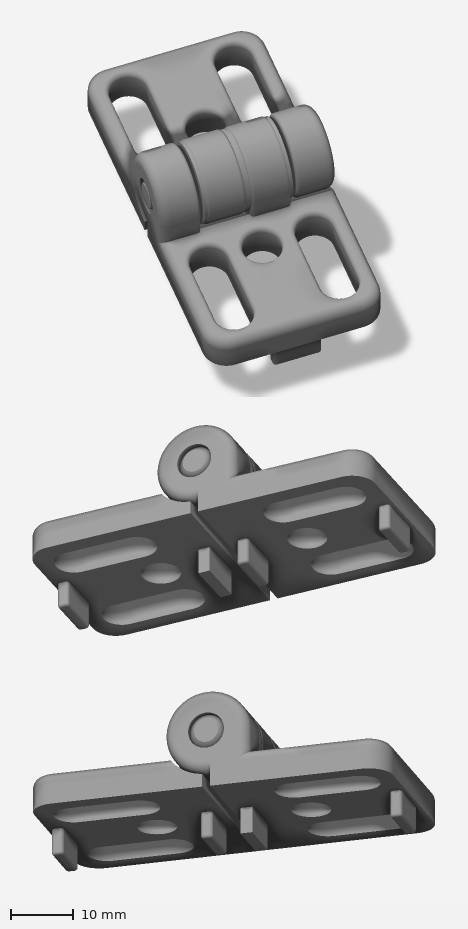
import cadquery as cq

HALF_LENGTH = 30.0
WIDTH = 30.0
PLATE_THICKNESS = 5.6
CORNER_RADIUS = 4.0
OUTER_FILLET = 1.55
HALF_GAP = 0.65

AXIS_HEIGHT = 9.6
KNUCKLE_RADIUS = 7.0
KNUCKLE_FILLET = 0.6
KNUCKLE_LENGTH = 6.8
CENTER_GAP = 0.8
BORE_DIAMETER = 6.0
RECESS_RADIUS = 7.45

PIN_DIAMETER = 5.8
PIN_END_CHAMFER = 0.9

WASHER_DIAMETER = 13.7
WASHER_THICKNESS = 0.95
WASHER_PITCH = 7.1

HOLE_DIAMETER = 6.4
HOLE_FILLET = 0.8
HOLE_X = 12.9
SLOT_END_X = 24.0
SLOT_Y = 9.0

TAB_THICKNESS = 2.0
TAB_WIDTH = 8.3
TAB_HEIGHT = 4.4
TAB_CORNER_FILLET = 0.6
TAB_TIP_FILLET = 0.4
INNER_TAB_X = 3.35
OUTER_TAB_X = 28.3

HALF_WIDTH = WIDTH / 2
INNER_KNUCKLE_START = CENTER_GAP / 2
INNER_KNUCKLE_END = INNER_KNUCKLE_START + KNUCKLE_LENGTH
WASHER_CENTERS = [-WASHER_PITCH, 0.0, WASHER_PITCH]


def axial_cylinder(diameter, start, end):
    """Cylinder on the hinge axis between two Y positions."""
    return (
        cq.Workplane("XZ", origin=(0, start, AXIS_HEIGHT))
        .circle(diameter / 2)
        .extrude(start - end)
    )


def block(x_range, y_range, z_range):
    """Box between two limits along each axis."""
    size = [high - low for low, high in (x_range, y_range, z_range)]
    return cq.Workplane("XY").box(*size, centered=False).translate((x_range[0], y_range[0], z_range[0]))


def leaf_plate():
    """Flat plate with rounded outer corners and a rounded top edge, recessed around the hinge."""
    plate = (
        block((-HALF_LENGTH, HALF_LENGTH), (-HALF_WIDTH, HALF_WIDTH), (0, PLATE_THICKNESS))
        .edges("|Z")
        .fillet(CORNER_RADIUS)
        .faces(">Z")
        .edges()
        .fillet(OUTER_FILLET)
    )
    own_side = block((HALF_GAP, HALF_LENGTH), (-HALF_WIDTH, HALF_WIDTH), (0, PLATE_THICKNESS))
    recess = axial_cylinder(2 * RECESS_RADIUS, -HALF_WIDTH, HALF_WIDTH)
    return plate.intersect(own_side).cut(recess)


def knuckle(start, end, start_fillet, end_fillet):
    """Barrel on the hinge axis with a straight foot, both rounded at their two faces."""
    barrel = (
        axial_cylinder(2 * KNUCKLE_RADIUS, start, end)
        .faces("<Y")
        .edges()
        .fillet(start_fillet)
        .faces(">Y")
        .edges()
        .fillet(end_fillet)
    )
    foot = (
        block((HALF_GAP, KNUCKLE_RADIUS), (start, end), (0, AXIS_HEIGHT))
        .edges("|Z and >X and <Y")
        .fillet(start_fillet)
        .edges("|Z and >X and >Y")
        .fillet(end_fillet)
    )
    bore = axial_cylinder(BORE_DIAMETER, start, end)
    return barrel.union(foot).cut(bore)


def cut_openings(leaf):
    """Screw hole and two slots through the plate, each with a rounded top rim."""
    slot_length = SLOT_END_X - HOLE_X + HOLE_DIAMETER
    slot_center_x = (SLOT_END_X + HOLE_X) / 2
    hole = cq.Workplane("XY").center(HOLE_X, 0).circle(HOLE_DIAMETER / 2).extrude(PLATE_THICKNESS)
    slots = (
        cq.Workplane("XY")
        .pushPoints([(slot_center_x, -SLOT_Y), (slot_center_x, SLOT_Y)])
        .slot2D(slot_length, HOLE_DIAMETER)
        .extrude(PLATE_THICKNESS)
    )
    inside_top_edge = cq.selectors.BoxSelector(
        (RECESS_RADIUS, OUTER_FILLET - HALF_WIDTH, PLATE_THICKNESS - HOLE_FILLET),
        (HALF_LENGTH - OUTER_FILLET, HALF_WIDTH - OUTER_FILLET, PLATE_THICKNESS + HOLE_FILLET),
        boundingbox=True,
    )
    return leaf.cut(hole).cut(slots).edges(inside_top_edge).fillet(HOLE_FILLET)


def tab(center_x, rounded):
    """Locating tab below the plate; the rounded kind has soft corners and a soft tip."""
    half_thickness = TAB_THICKNESS / 2
    body = block(
        (center_x - half_thickness, center_x + half_thickness),
        (-TAB_WIDTH / 2, TAB_WIDTH / 2),
        (-TAB_HEIGHT, 0),
    )
    if rounded:
        body = body.edges("|Z").fillet(TAB_CORNER_FILLET)
        body = body.faces("<Z").edges().fillet(TAB_TIP_FILLET)
    return body


def washer_disc(center_y):
    """Full disc of a washer, also the seat it needs in a knuckle face."""
    half_thickness = WASHER_THICKNESS / 2
    return axial_cylinder(WASHER_DIAMETER, center_y - half_thickness, center_y + half_thickness)


def washer(center_y):
    """Flat ring around the pin."""
    return washer_disc(center_y).cut(axial_cylinder(PIN_DIAMETER, -HALF_WIDTH, HALF_WIDTH))


def leaf(inner_tab_rounded):
    """Hinge half on the +X side: plate, end knuckle at -Y, inner knuckle at +Y and two tabs."""
    end_knuckle = knuckle(-HALF_WIDTH, KNUCKLE_LENGTH - HALF_WIDTH, OUTER_FILLET, KNUCKLE_FILLET)
    inner_knuckle = knuckle(INNER_KNUCKLE_START, INNER_KNUCKLE_END, KNUCKLE_FILLET, KNUCKLE_FILLET)
    for center_y in WASHER_CENTERS:
        inner_knuckle = inner_knuckle.cut(washer_disc(center_y))
    return (
        cut_openings(leaf_plate())
        .union(end_knuckle)
        .union(inner_knuckle)
        .union(tab(INNER_TAB_X, inner_tab_rounded))
        .union(tab(OUTER_TAB_X, True))
    )


def hinge_pin():
    """Straight pin over the whole width with chamfered ends."""
    return axial_cylinder(PIN_DIAMETER, -HALF_WIDTH, HALF_WIDTH).edges("%CIRCLE").chamfer(PIN_END_CHAMFER)


right_leaf = leaf(inner_tab_rounded=False)
left_leaf = leaf(inner_tab_rounded=True).rotate((0, 0, 0), (0, 0, 1), 180)
pin = hinge_pin()

washers = [washer(center_y).solids().val() for center_y in WASHER_CENTERS]

leaves = [right_leaf.solids().val(), left_leaf.solids().val()]
result = cq.Compound.makeCompound([*leaves, pin.solids().val(), *washers])